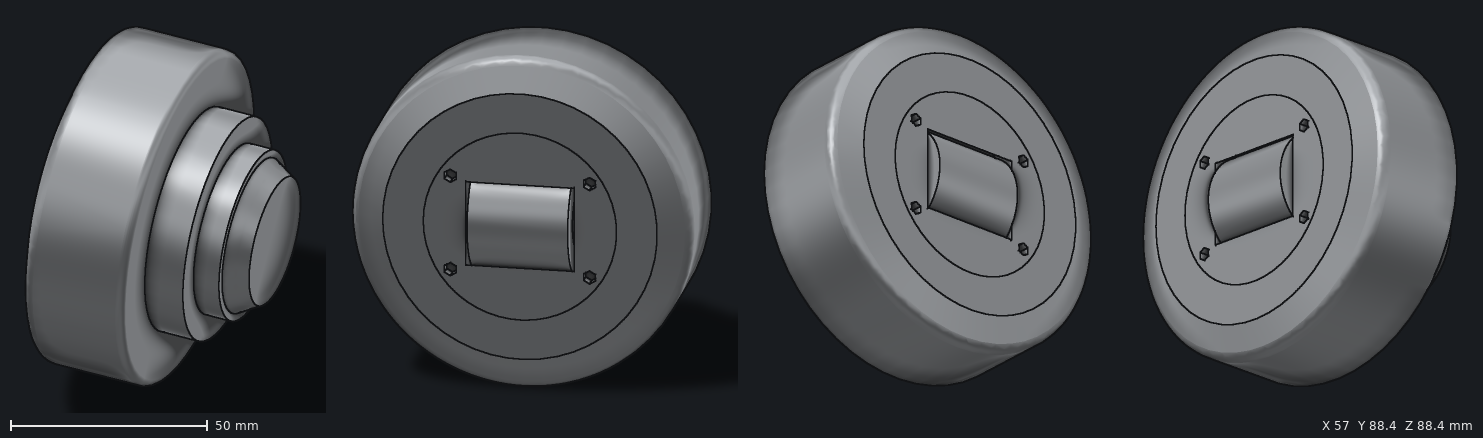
import cadquery as cq
import math


ring_radius = 88.4 / 2
ring_width = 30.0
ring_face_radius = 35.5
front_cone_angle = 20.0
front_fillet = 3.0
back_fillet = 2.0

core_radius = 25.0
flange_radius = 29.5
flange_width = 10.5
shank_radius = 22.5
shank_length = 7.0
tip_end_radius = 17.0
tip_length = 6.0
tip_angle = 30.0

roller_radius = 15.0
roller_width = 26.0
roller_projection = 3.5
roller_clearance = 1.0
roller_axis_x = roller_radius - roller_projection
pocket_radius = roller_radius + roller_clearance
pocket_width = roller_width + 2 * roller_clearance

pin_radius = 8.5
pin_length = 40.0

socket_across_flats = 3.0
socket_depth = 3.0
socket_spacing_y = 36.0
socket_spacing_z = 25.0


def revolve_about_x(profile):
    return profile.close().revolve(360, (0, 0, 0), (1, 0, 0))


def cross_cylinder(radius, length):
    """Cylinder along Y, centred on the side roller axis."""
    return (
        cq.Workplane("XZ", origin=(roller_axis_x, length / 2, 0))
        .circle(radius)
        .extrude(length)
    )


def make_outer_ring():
    cone_length = (ring_radius - ring_face_radius) * math.tan(math.radians(front_cone_angle))
    ring = revolve_about_x(
        cq.Workplane("XY")
        .moveTo(0, core_radius)
        .lineTo(0, ring_face_radius)
        .lineTo(cone_length, ring_radius)
        .lineTo(ring_width, ring_radius)
        .lineTo(ring_width, core_radius)
    )
    front_and_back_rims = ring.edges(cq.selectors.RadiusNthSelector(-1))
    ring = front_and_back_rims.edges("<X").fillet(front_fillet)
    return ring.faces(">X").edges(cq.selectors.RadiusNthSelector(-1)).fillet(back_fillet)


def make_bolt_body():
    flange_end = ring_width + flange_width
    shank_end = flange_end + shank_length
    tip_end = shank_end + tip_length
    tip_start_radius = tip_end_radius + tip_length * math.tan(math.radians(tip_angle))
    return revolve_about_x(
        cq.Workplane("XY")
        .lineTo(0, core_radius)
        .lineTo(ring_width, core_radius)
        .lineTo(ring_width, flange_radius)
        .lineTo(flange_end, flange_radius)
        .lineTo(flange_end, shank_radius)
        .lineTo(shank_end, shank_radius)
        .lineTo(shank_end, tip_start_radius)
        .lineTo(tip_end, tip_end_radius)
        .lineTo(tip_end, 0)
    )


def make_sockets():
    """Four hexagon sockets, each with two flats facing +Y and -Y."""
    across_corners = socket_across_flats / math.cos(math.radians(30))
    upright_plane = cq.Plane(origin=(0, 0, 0), xDir=(0, 0, 1), normal=(1, 0, 0))
    socket = cq.Workplane(upright_plane).polygon(6, across_corners).extrude(socket_depth)
    sockets = cq.Workplane("YZ")
    for side_y in (-1, 1):
        for side_z in (-1, 1):
            offset = (0, side_y * socket_spacing_y / 2, side_z * socket_spacing_z / 2)
            sockets = sockets.add(socket.translate(offset))
    return sockets.combine()


def make_bolt():
    roller_pocket = cross_cylinder(pocket_radius, pocket_width)
    pin_bore = cross_cylinder(pin_radius, pin_length)
    return make_bolt_body().cut(roller_pocket).cut(pin_bore).cut(make_sockets())


def make_side_roller():
    pin_bore = cross_cylinder(pin_radius, roller_width)
    return cross_cylinder(roller_radius, roller_width).cut(pin_bore)


def make_cross_pin():
    return cross_cylinder(pin_radius, pin_length)


outer_ring = make_outer_ring()
bolt = make_bolt()
side_roller = make_side_roller()
cross_pin = make_cross_pin()

result = cq.Compound.makeCompound([
    outer_ring.val(),
    bolt.val(),
    side_roller.val(),
    cross_pin.val(),
])